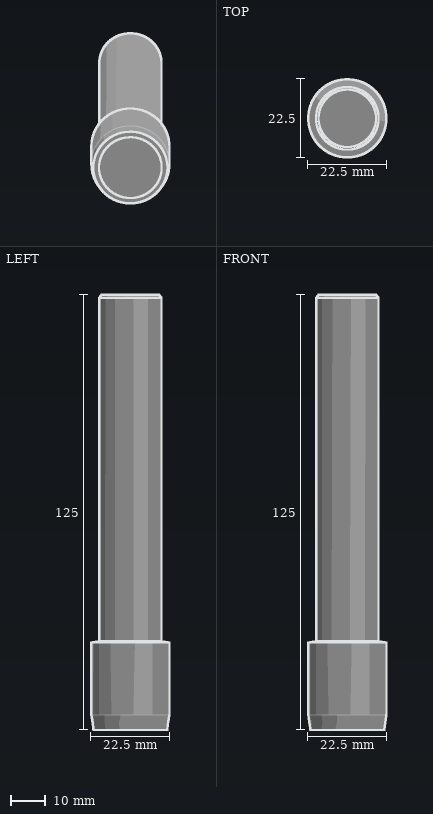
import cadquery as cq

total_length = 125.0
pin_diameter = 18.0
pin_chamfer_height = 1.0
pin_chamfer_width = 0.8

sleeve_diameter = 22.5
sleeve_height = 25.5
top_bevel_height = 0.4
lead_in_height = 4.4
lead_in_end_diameter = 21.2

pin_radius = pin_diameter / 2
sleeve_radius = sleeve_diameter / 2


def make_pin():
    """Full-length straight pin with a chamfered top end."""
    pin = cq.Workplane("XY").circle(pin_radius).extrude(total_length)
    return pin.faces(">Z").chamfer(pin_chamfer_height, pin_chamfer_width)


def make_sleeve():
    """Sleeve around the pin, beveled at the top and tapered at the bottom."""
    profile = (
        cq.Workplane("XZ")
        .moveTo(pin_radius, 0)
        .lineTo(lead_in_end_diameter / 2, 0)
        .lineTo(sleeve_radius, lead_in_height)
        .lineTo(sleeve_radius, sleeve_height - top_bevel_height)
        .lineTo(pin_radius, sleeve_height)
        .close()
    )
    return profile.revolve(360, (0, 0, 0), (0, 1, 0))


pin = make_pin()
sleeve = make_sleeve()

result = cq.Compound.makeCompound([pin.val(), sleeve.val()])